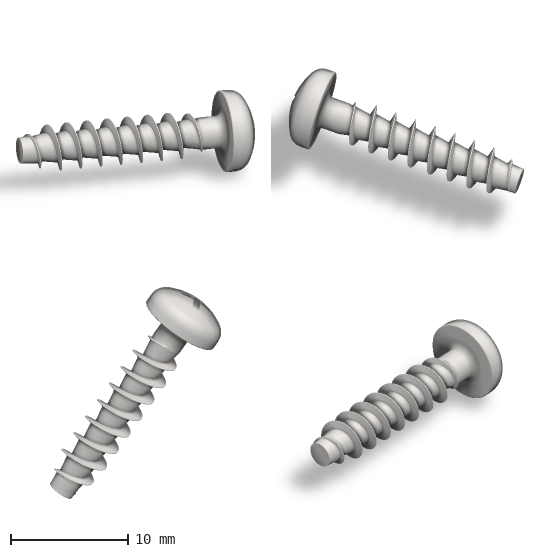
import cadquery as cq
import math

overall_length = 20.65

head_radius = 3.5
rim_height = 0.76
rim_chamfer = 0.06
shoulder_radius = 1.3
apex_height = 2.68

recess_width = 0.66
recess_depth = 0.23

neck_radius = 1.38
neck_fillet = 0.6
neck_length = 1.98
neck_taper_length = 1.32
core_radius = 1.12

thread_length = 15.65
thread_turns = 8.75
pitch = thread_length / thread_turns
crest_radius = 2.02
crest_land = 0.06
flank_width = 0.23
root_radius = 1.32
sink_depth = 0.01
buried_radius = core_radius - sink_depth
buried_gap = 0.05
thread_start = 1.9
start_crest_radius = 1.53
start_angle = -90.0
run_in_turns = 1.0
run_out_turns = 1.25
end_crest_radius = 1.24
end_root_radius = 1.15
tip_clearance = 0.02
stretch_turns = 0.5
curve_spans = 12

shoulder_offset = head_radius - shoulder_radius
dome_rise = apex_height - rim_height - shoulder_radius
centre_drop = (shoulder_offset**2 - dome_rise**2) / (2 * dome_rise)
dome_centre = rim_height - centre_drop
dome_radius = apex_height - dome_centre

head_height = dome_centre + math.sqrt(dome_radius**2 - recess_width**2 / 2)
shank_length = overall_length - head_height


def arc_point(centre_x, centre_y, radius, angle):
    return (centre_x + radius * math.cos(angle), centre_y + radius * math.sin(angle))


def make_blank():
    """Head, neck and plain core, revolved about the Y axis."""
    blend_angle = math.atan2(centre_drop, shoulder_offset)
    dome_mid_angle = (blend_angle + math.pi / 2) / 2
    fillet_edge = neck_radius + neck_fillet
    fillet_mid = arc_point(fillet_edge, -neck_fillet, neck_fillet, math.radians(135))
    outline = (
        cq.Workplane("XY")
        .moveTo(0, -shank_length)
        .lineTo(core_radius, -shank_length)
        .lineTo(core_radius, -neck_length - neck_taper_length)
        .lineTo(neck_radius, -neck_length)
        .lineTo(neck_radius, -neck_fillet)
        .threePointArc(fillet_mid, (fillet_edge, 0))
        .lineTo(head_radius - rim_chamfer, 0)
        .lineTo(head_radius, rim_chamfer)
        .lineTo(head_radius, rim_height)
        .threePointArc(
            arc_point(shoulder_offset, rim_height, shoulder_radius, blend_angle / 2),
            arc_point(0, dome_centre, dome_radius, blend_angle),
        )
        .threePointArc(arc_point(0, dome_centre, dome_radius, dome_mid_angle), (0, apex_height))
        .close()
    )
    return outline.revolve(360, (0, 0, 0), (0, 1, 0))


def make_recess():
    """Two crossed slots whose flat floor runs out through the dome."""
    floor = head_height - recess_depth
    arm = cq.Workplane("XZ", origin=(0, floor, 0)).rect(2 * head_radius, recess_width).extrude(-apex_height)
    return arm.union(arm.rotate((0, 0, 0), (0, 1, 0), 90))


def run_out_fraction(turn):
    """0 along the full thread, rising to 1 where the thread ends."""
    return max(0.0, (turn - thread_turns + run_out_turns) / run_out_turns)


def crest_at(turn):
    run_in = min(1.0, turn / run_in_turns)
    full = start_crest_radius + (crest_radius - start_crest_radius) * run_in
    return full - (crest_radius - end_crest_radius) * run_out_fraction(turn)


def root_at(turn):
    return root_radius - (root_radius - end_root_radius) * run_out_fraction(turn)


def flank_foot_at(turn):
    """Axial reach of the tip-side flank; it narrows as the ridge gets lower."""
    full_height = crest_radius - root_radius
    slope_width = flank_width - crest_land / 2
    return crest_land / 2 + slope_width * (crest_at(turn) - root_at(turn)) / full_height


def band_corners(turn):
    """Radius and axial offset of each corner of the band's section at this turn."""
    return [
        (buried_radius, -flank_width),
        (crest_at(turn), -crest_land / 2),
        (crest_at(turn), crest_land / 2),
        (root_at(turn), flank_foot_at(turn)),
        (buried_radius, pitch - flank_width - buried_gap),
    ]


def helix_edge(corner, first_turn, last_turn):
    """Path of one band corner: a right-handed helix toward the tip, kept inside the shank's length."""
    deepest = shank_length - tip_clearance
    turns = [first_turn + (last_turn - first_turn) * i / curve_spans for i in range(curve_spans + 1)]
    points = []
    for turn in turns:
        angle = math.radians(start_angle) + 2 * math.pi * turn
        radius, axial_offset = band_corners(turn)[corner]
        depth = min(thread_start + pitch * turn + axial_offset, deepest)
        points.append(cq.Vector(radius * math.cos(angle), -depth, radius * math.sin(angle)))
    return cq.Edge.makeSpline(points, parameters=turns)


def make_end_cap(points):
    return cq.Face.makeFromWires(cq.Wire.makePolygon(points, close=True))


def make_thread():
    """Ridge plus the root taper behind it, as a helical band that overlaps the core."""
    corner_count = len(band_corners(0))
    faces = []
    for stretch in range(math.ceil(thread_turns / stretch_turns)):
        first_turn = stretch * stretch_turns
        last_turn = min(first_turn + stretch_turns, thread_turns)
        edges = [helix_edge(corner, first_turn, last_turn) for corner in range(corner_count)]
        faces += [cq.Face.makeRuledSurface(edges[i - 1], edges[i]) for i in range(corner_count)]
        if stretch == 0:
            faces.append(make_end_cap([edge.startPoint() for edge in edges]))
    faces.append(make_end_cap([edge.endPoint() for edge in edges]))
    return cq.Workplane(cq.Solid.makeSolid(cq.Shell.makeShell(faces)))


result = make_blank().cut(make_recess()).union(make_thread())